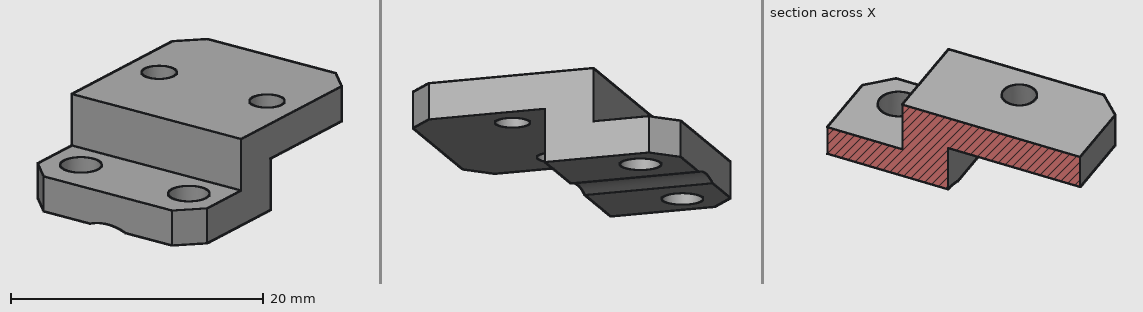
import cadquery as cq

width = 16.5
length = 22.4
height = 7.4
corner_chamfer = 2.0

flange_thickness = 3.0
step_front = 6.64
step_back = 10.7

hole_spacing = 10.5
lower_hole_diameter = 3.3
lower_hole_y = 3.7
upper_hole_diameter = 2.8
upper_hole_y = 14.4

groove_radius = 4.6
groove_depth = 0.34


def stepped_body():
    """Two offset flanges joined by a web, with the outer corners cut off."""
    profile = [
        (0, 0),
        (step_back, 0),
        (step_back, height - flange_thickness),
        (length, height - flange_thickness),
        (length, height),
        (step_front, height),
        (step_front, flange_thickness),
        (0, flange_thickness),
    ]
    body = cq.Workplane("YZ").polyline(profile).close().extrude(width / 2, both=True)
    front_corners = body.faces("<Y").edges("|Z")
    back_corners = body.faces(">Y").edges("|Z")
    return front_corners.add(back_corners).chamfer(corner_chamfer)


def hole_pair(diameter, y):
    """Two full-height cylinders, one on each side of the centre plane."""
    centres = [(-hole_spacing / 2, y), (hole_spacing / 2, y)]
    return cq.Workplane("XY").pushPoints(centres).circle(diameter / 2).extrude(height)


def underside_groove():
    """Cylinder along Y whose top rises just above the bottom face."""
    axis_z = groove_depth - groove_radius
    return cq.Workplane("XZ").center(0, axis_z).circle(groove_radius).extrude(-step_back)


result = (
    stepped_body()
    .cut(hole_pair(lower_hole_diameter, lower_hole_y))
    .cut(hole_pair(upper_hole_diameter, upper_hole_y))
    .cut(underside_groove())
)